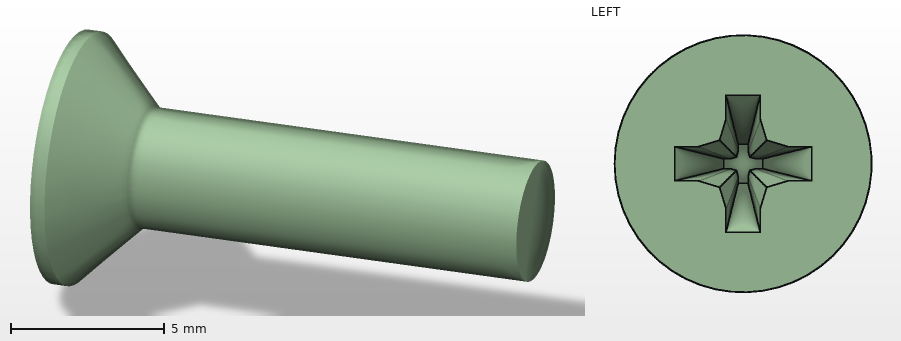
import cadquery as cq
import math

length = 16.0
shank_radius = 4.0 / 2
head_radius = 8.4 / 2
rim_thickness = 0.5
cone_half_angle = 45.0
neck_fillet_radius = 0.2

recess_depth = 2.64
arm_reach = 2.24
arm_half_width = 0.56
shoulder_reach = 1.45
corner_offset = 0.77
floor_arm_reach = 0.64
floor_scale = floor_arm_reach / arm_reach


def screw_body():
    """Revolve the countersunk head and shank, with a fillet blending cone into shank."""
    cone_length = (head_radius - shank_radius) / math.tan(math.radians(cone_half_angle))
    neck_x = rim_thickness + cone_length
    half_turn = math.radians(cone_half_angle) / 2
    tangent_length = neck_fillet_radius * math.tan(half_turn)
    cone_angle = math.radians(cone_half_angle)

    fillet_center_x = neck_x + tangent_length
    fillet_center_r = shank_radius + neck_fillet_radius
    fillet_start = (
        neck_x - tangent_length * math.cos(cone_angle),
        shank_radius + tangent_length * math.sin(cone_angle),
    )
    fillet_middle = (
        fillet_center_x - neck_fillet_radius * math.sin(half_turn),
        fillet_center_r - neck_fillet_radius * math.cos(half_turn),
    )
    fillet_end = (fillet_center_x, shank_radius)

    profile = (
        cq.Workplane("XY")
        .lineTo(0, head_radius)
        .lineTo(rim_thickness, head_radius)
        .lineTo(*fillet_start)
        .threePointArc(fillet_middle, fillet_end)
        .lineTo(length, shank_radius)
        .lineTo(length, 0)
        .close()
    )
    return profile.revolve(360, (0, 0, 0), (1, 0, 0))


def recess_outline(scale):
    """Corners of the four-armed outline, one quarter turn per arm."""
    arm = [
        (corner_offset, -corner_offset),
        (shoulder_reach, -arm_half_width),
        (arm_reach, -arm_half_width),
        (arm_reach, arm_half_width),
        (shoulder_reach, arm_half_width),
    ]
    points = []
    for _ in range(4):
        points += [(scale * u, scale * v) for u, v in arm]
        arm = [(-v, u) for u, v in arm]
    return points


def cross_recess():
    """Tapered cutter running from the head face to the recess floor."""
    return (
        cq.Workplane("YZ")
        .polyline(recess_outline(1.0))
        .close()
        .workplane(offset=recess_depth)
        .polyline(recess_outline(floor_scale))
        .close()
        .loft(ruled=True)
    )


result = screw_body().cut(cross_recess())